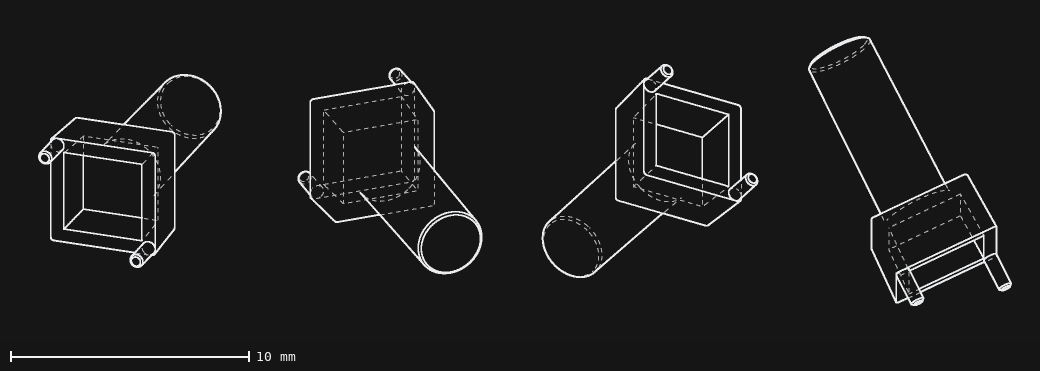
import cadquery as cq
import math

housing_width = 4.7
housing_length = 2.67
housing_draft = 2.0
housing_edge_radius = 0.15

wall_thickness = 0.6
cavity_width = housing_width - 2 * wall_thickness
cavity_depth = 2.1
cavity_draft = 2.0

pin_length = 1.5
pin_base_radius = 0.3
pin_draft = 0.5
pin_tip_chamfer = 0.08
pin_offset = housing_width / 2 - pin_base_radius

overall_length = 11.81
post_length = overall_length - pin_length - housing_length
post_base_radius = 1.5
post_draft = 0.5
post_tip_chamfer = 0.1
post_root_radius = 0.2


def inset_over(length, draft):
    """Sideways shift of a drafted wall over a length."""
    return length * math.tan(math.radians(draft))


def tapered_square(width, length, draft):
    """Square block from Y = 0 to Y = length, with drafted sides."""
    far_width = width - 2 * inset_over(length, draft)
    return (
        cq.Workplane("XZ")
        .rect(width, width)
        .workplane(offset=-length)
        .rect(far_width, far_width)
        .loft(ruled=True)
    )


def tapered_round(base_radius, length, draft, tip_chamfer):
    """Drafted round bar along +Y from the origin, with a chamfered tip."""
    tip_radius = base_radius - inset_over(length, draft)
    return (
        cq.Workplane("YZ")
        .polyline([(0, 0), (0, base_radius), (length, tip_radius), (length, 0)])
        .close()
        .revolve(360, (0, 0, 0), (1, 0, 0))
        .faces(">Y")
        .edges()
        .chamfer(tip_chamfer)
    )


def make_housing():
    """Solid tapered housing, rounded on all edges except those of the open face."""
    block = tapered_square(housing_width, housing_length, housing_draft)
    return block.edges("not(<Y)").fillet(housing_edge_radius)


def add_post(body):
    """Join the post to the back of the housing and round its root."""
    post = tapered_round(post_base_radius, post_length, post_draft, post_tip_chamfer)
    joined = body.union(post.translate((0, housing_length, 0)))
    root_edge = cq.selectors.RadiusNthSelector(-1)
    return joined.edges("%CIRCLE").edges(root_edge).fillet(post_root_radius)


def cut_cavity(body):
    """Cut the drafted square cavity into the open face."""
    return body.cut(tapered_square(cavity_width, cavity_depth, cavity_draft))


def add_pins(body):
    """Join a pin at the -X+Z corner and another at the +X-Z corner."""
    pin = tapered_round(pin_base_radius, pin_length, pin_draft, pin_tip_chamfer)
    pin = pin.rotate((0, 0, 0), (0, 0, 1), 180)
    for side in (-1, 1):
        body = body.union(pin.translate((side * pin_offset, 0, -side * pin_offset)))
    return body


result = add_pins(cut_cavity(add_post(make_housing())))